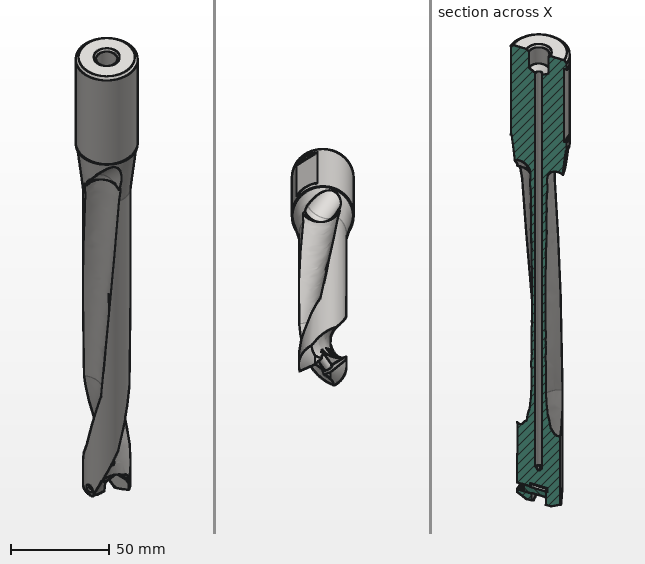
import cadquery as cq
import math

TOTAL_LENGTH = 301.5

SHANK_DIAMETER = 31.7
SHANK_RADIUS = SHANK_DIAMETER / 2
SHANK_BOTTOM = 241.2
SHANK_CHAMFER = 1.5
FLAT_BOTTOM = 247.3
FLAT_TOP = 295.5
FLAT_OFFSET = 14.5

NECK_TOP_RADIUS = 15.5
NECK_BOTTOM = 210.8
BODY_DIAMETER = 24.5
BODY_RADIUS = BODY_DIAMETER / 2
POINT_RADIUS = 4.5
TIP_CONE_HEIGHT = 4.2

SOCKET_RADIUS = 5.5
SOCKET_DEPTH = 12.0
SOCKET_CHAMFER = 1.2
DRILL_POINT_ANGLE = 118.0
BORE_RADIUS = 1.8
BORE_END = 25.0
EXIT_HOLE_RADIUS = 1.2
EXIT_HOLE_TILT = 45.0

WEB_RADIUS = 4.0
FLUTE_RADIUS = 11.2
FLUTE_CENTRE = WEB_RADIUS + FLUTE_RADIUS
FLUTE_TOP = 219.5
SLOW_TWIST_BOTTOM = 76.0
MEDIUM_TWIST_BOTTOM = 37.0
SLOW_TWIST = 0.3316
MEDIUM_TWIST = 1.128
FAST_TWIST = 1.99
FLUTE_BOTTOM = -3.0
FLUTE_LEVEL_FACING_FRONT = 131.8
RUNOUT_RADIUS = 8.5
RUNOUT_TILT = 40.0
RUNOUT_TURN = 50.0
RUNOUT_LENGTH = 45.2

SLOT_WIDTH = 7.8
SLOT_TOP = 12.7
SEAT_WIDTH = 9.5
SEAT_BOTTOM = 10.3

GULLET_START_X = -1.8
GULLET_SHOULDER = (1.8, 2.7)
GULLET_WALL_TOP = (3.5, 9.0)
GULLET_END_X = 6.5

SCREW_RADIUS = 2.25
SCREW_X = -1.0
SCREW_Z = 8.5
SCREW_HEAD_Y = -10.3
SCREW_END_Y = SLOT_WIDTH / 2
SCREW_SOCKET_SIZE = 2.7
SCREW_SOCKET_DEPTH = 1.8

FRONT_ANGLE = -90.0


def turned_blank():
    """Shank, tapered neck, drill body and conical tip as one turned shape."""
    outline = (
        cq.Workplane("XZ")
        .moveTo(0, 0)
        .lineTo(POINT_RADIUS, 0)
        .lineTo(BODY_RADIUS, TIP_CONE_HEIGHT)
        .lineTo(BODY_RADIUS, NECK_BOTTOM)
        .lineTo(NECK_TOP_RADIUS, SHANK_BOTTOM)
        .lineTo(SHANK_RADIUS, SHANK_BOTTOM)
        .lineTo(SHANK_RADIUS, TOTAL_LENGTH - SHANK_CHAMFER)
        .lineTo(SHANK_RADIUS - SHANK_CHAMFER, TOTAL_LENGTH)
        .lineTo(0, TOTAL_LENGTH)
        .close()
    )
    return outline.revolve(360, (0, 0, 0), (0, 1, 0))


def clamping_flat():
    """Material removed for the flat on the +Y side of the shank."""
    return (
        cq.Workplane("XY")
        .box(2 * SHANK_RADIUS, SHANK_RADIUS, FLAT_TOP - FLAT_BOTTOM, centered=(True, False, False))
        .translate((0, FLAT_OFFSET, FLAT_BOTTOM))
    )


def coolant_supply():
    """Conical-bottomed socket and the axial bore below it."""
    point_depth = SOCKET_RADIUS / math.tan(math.radians(DRILL_POINT_ANGLE / 2))
    socket_floor = TOTAL_LENGTH - SOCKET_DEPTH
    supply = (
        cq.Workplane("XZ")
        .moveTo(0, TOTAL_LENGTH)
        .lineTo(SOCKET_RADIUS + SOCKET_CHAMFER, TOTAL_LENGTH)
        .lineTo(SOCKET_RADIUS, TOTAL_LENGTH - SOCKET_CHAMFER)
        .lineTo(SOCKET_RADIUS, socket_floor)
        .lineTo(0, socket_floor - point_depth)
        .close()
        .revolve(360, (0, 0, 0), (0, 1, 0))
    )
    bore = (
        cq.Workplane("XY", origin=(0, 0, BORE_END))
        .circle(BORE_RADIUS)
        .extrude(socket_floor - BORE_END)
    )
    return supply.union(bore)


def coolant_exit():
    """Hole that slopes down from the end of the bore and opens into the flute on the -X side."""
    return (
        cq.Workplane("XY")
        .circle(EXIT_HOLE_RADIUS)
        .extrude(-BODY_RADIUS)
        .rotate((0, 0, 0), (0, 1, 0), EXIT_HOLE_TILT)
        .translate((0, 0, BORE_END))
    )


def flute_stretch(bottom, top, twist_rate, bottom_angle):
    """One stretch of a flute with a constant twist rate."""
    height = top - bottom
    return (
        cq.Workplane("XY")
        .pushPoints([(FLUTE_CENTRE, 0)])
        .circle(FLUTE_RADIUS)
        .twistExtrude(height, twist_rate * height)
        .rotate((0, 0, 0), (0, 0, 1), bottom_angle)
        .translate((0, 0, bottom))
    )


def flute_runout(top_angle):
    """Ball-ended cutter path that leaves the flute outwards through the neck."""
    return (
        cq.Workplane("XY")
        .circle(RUNOUT_RADIUS)
        .extrude(RUNOUT_LENGTH)
        .union(cq.Workplane("XY").sphere(RUNOUT_RADIUS))
        .rotate((0, 0, 0), (0, 1, 0), RUNOUT_TILT)
        .rotate((0, 0, 0), (0, 0, 1), RUNOUT_TURN)
        .translate((WEB_RADIUS + RUNOUT_RADIUS, 0, FLUTE_TOP))
        .rotate((0, 0, 0), (0, 0, 1), top_angle)
    )


def flute_cutters():
    """Stretches of the front flute from the run-out down to the tip."""
    slow_angle = FRONT_ANGLE - SLOW_TWIST * (FLUTE_LEVEL_FACING_FRONT - SLOW_TWIST_BOTTOM)
    medium_angle = slow_angle - MEDIUM_TWIST * (SLOW_TWIST_BOTTOM - MEDIUM_TWIST_BOTTOM)
    fast_angle = medium_angle - FAST_TWIST * (MEDIUM_TWIST_BOTTOM - FLUTE_BOTTOM)
    top_angle = FRONT_ANGLE + SLOW_TWIST * (FLUTE_TOP - FLUTE_LEVEL_FACING_FRONT)
    return [
        flute_runout(top_angle),
        flute_stretch(SLOW_TWIST_BOTTOM, FLUTE_TOP, SLOW_TWIST, slow_angle),
        flute_stretch(MEDIUM_TWIST_BOTTOM, SLOW_TWIST_BOTTOM, MEDIUM_TWIST, medium_angle),
        flute_stretch(FLUTE_BOTTOM, MEDIUM_TWIST_BOTTOM, FAST_TWIST, fast_angle),
    ]


def insert_slot():
    """Slot along X through the tip and the wider seat at its top."""
    length = 2 * SHANK_RADIUS
    slot = cq.Workplane("XY").box(length, SLOT_WIDTH, SLOT_TOP, centered=(True, True, False))
    seat = (
        cq.Workplane("XY")
        .box(length, SEAT_WIDTH, SLOT_TOP - SEAT_BOTTOM, centered=(True, True, False))
        .translate((0, 0, SEAT_BOTTOM))
    )
    return slot.union(seat)


def gullet():
    """Clearance at the +X end of the -Y prong, leaning away from the axis like the flute."""
    return (
        cq.Workplane("XZ")
        .moveTo(GULLET_START_X, 0)
        .lineTo(*GULLET_SHOULDER)
        .lineTo(*GULLET_WALL_TOP)
        .lineTo(GULLET_END_X, SLOT_TOP)
        .lineTo(BODY_RADIUS, SLOT_TOP)
        .lineTo(BODY_RADIUS, 0)
        .close()
        .extrude(BODY_RADIUS)
    )


def rod_along_y(start, end):
    """Cylinder on the screw axis between two Y positions."""
    return (
        cq.Workplane("XZ", origin=(SCREW_X, start, SCREW_Z))
        .circle(SCREW_RADIUS)
        .extrude(start - end)
    )


def make_drill_body():
    """Shank, neck and fluted body in one piece; flutes, exits and gullets come in opposite pairs."""
    body = turned_blank().cut(clamping_flat()).cut(coolant_supply()).cut(insert_slot())
    for cutter in [*flute_cutters(), coolant_exit(), gullet()]:
        opposite = cutter.rotate((0, 0, 0), (0, 0, 1), 180)
        body = body.cut(cutter).cut(opposite)
    screw_hole = rod_along_y(-SHANK_RADIUS, SCREW_END_Y)
    return body.cut(screw_hole)


def make_insert_screw():
    """Headless screw with a hexagon socket, recessed in its hole and crossing the slot."""
    socket = (
        cq.Workplane("XZ", origin=(SCREW_X, SCREW_HEAD_Y, SCREW_Z))
        .polygon(6, SCREW_SOCKET_SIZE)
        .extrude(-SCREW_SOCKET_DEPTH)
    )
    return rod_along_y(SCREW_HEAD_Y, SCREW_END_Y).cut(socket)


drill_body = make_drill_body()
insert_screw = make_insert_screw()
result = cq.Compound.makeCompound([drill_body.solids().val(), insert_screw.solids().val()])